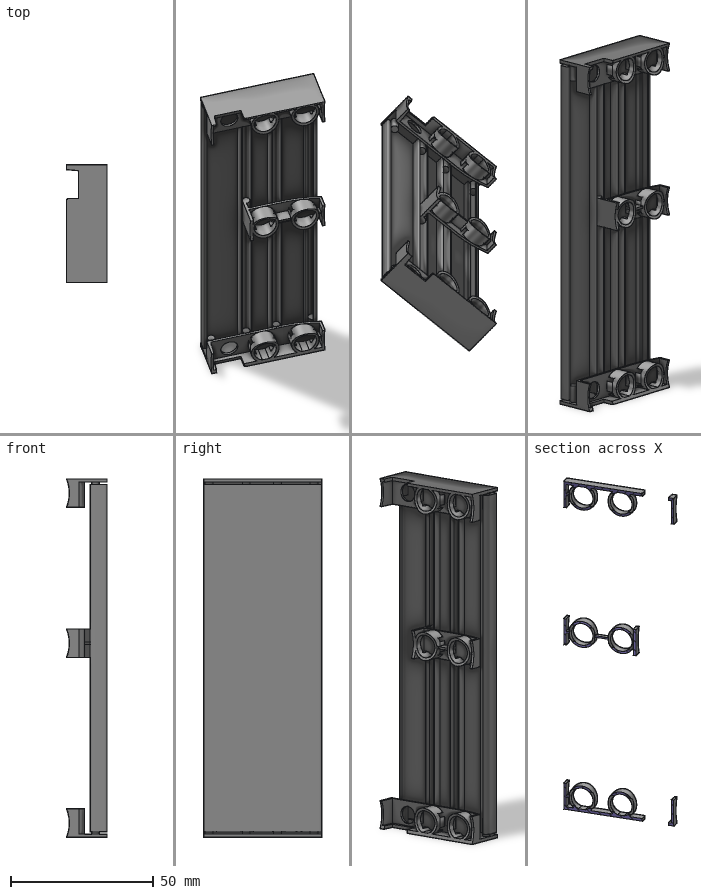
import cadquery as cq
import math

DEPTH = 14.31
WIDTH = 41.45
LENGTH = 126.0
HALF_WIDTH = WIDTH / 2

CLIP_HEIGHT = 10.09
END_PLATE_THICKNESS = 1.2
WEB_FRONT_X = 5.6
WEB_THICKNESS = 0.85
WEB_BACK_X = WEB_FRONT_X + WEB_THICKNESS
WEB_BEND_Y = -7.07
WEB_BEND_RISE = 1.95
SIDE_WALL_THICKNESS = 0.95
SCALLOP_SAG = 1.0

TUBE_YS = (0.89, -13.8)
TUBE_BORE = 8.09
TUBE_DIAMETER = CLIP_HEIGHT
RECESS_WIDTH = 9.4
RECESS_HEIGHT = 6.2
RECESS_DEPTH = 2.5
RIB_THICKNESS = 0.8
RIB_FRONT_X = 1.7

ACCESS_HOLE_DIAMETER = 6.2
ACCESS_HOLE_Y = 12.69
TAB_TIP_THICKNESS = 0.75
TAB_ROOT_THICKNESS = 1.25
TAB_RIM = 1.05
NOTCH_DEPTH = 4.2
NOTCH_END_Y = 8.87
NOTCH_ROUND = 0.8
PIN_TOP = 7.2

MIDDLE_CLIP_BOTTOM = 0.2
HOOK_OUTER_Y = 6.5
HOOK_THICKNESS = 1.1
HOOK_ROOT_FILLET = 0.6
GUSSET_WIDTH = 1.0

PANEL_LENGTH = 122.0
PANEL_FRONT_X = 12.1
PANEL_EDGE_FILLET = 0.85
PIN_DIAMETER = 2.7
PORT_X = 10.2
PORT_WALL = 0.5
PORT_RADIUS = PIN_DIAMETER / 2 + PORT_WALL
PORT_MOUTH_X = 9.0
PORT_LIP_WIDTH = 1.2
MIDDLE_PORT_YS = (5.2, -5.8)
EDGE_PORT_Y = -HALF_WIDTH + PORT_RADIUS
EDGE_LIP_FRONT_X = 10.6
EDGE_LIP_WIDTH = 1.35
EDGE_LIP_FILLET = 0.6
EDGE_PIN_Y = 18.0


def box(x0, x1, y0, y1, z0, z1):
    """Block between two opposite corners."""
    return cq.Workplane("XY").box(x1 - x0, y1 - y0, z1 - z0, centered=False).translate((x0, y0, z0))


def rod(diameter, y, x0, x1):
    """Cylinder along X at the middle height of a clip."""
    return (
        cq.Workplane("YZ", origin=(x0, y, CLIP_HEIGHT / 2))
        .circle(diameter / 2)
        .extrude(x1 - x0)
    )


def pin(y, z0, z1):
    """Upright pin that fits a screw port of the panel."""
    return cq.Workplane("XY", origin=(PORT_X, y, z0)).circle(PIN_DIAMETER / 2).extrude(z1 - z0)


def middle_port(y):
    """C-shaped screw port, open to -X, with a rounded lip on its +Y side."""
    bore_radius = PIN_DIAMETER / 2
    lip_outer_y = y + bore_radius + PORT_LIP_WIDTH
    lip_round = PORT_LIP_WIDTH / 2
    outline = (
        cq.Workplane("XY", origin=(0, 0, -PANEL_LENGTH / 2))
        .moveTo(PANEL_FRONT_X, lip_outer_y)
        .lineTo(PORT_MOUTH_X + lip_round, lip_outer_y)
        .radiusArc((PORT_MOUTH_X, lip_outer_y - lip_round), -lip_round)
        .lineTo(PORT_X, y + bore_radius)
        .threePointArc((PORT_X + bore_radius, y), (PORT_X, y - bore_radius))
        .lineTo(PORT_MOUTH_X, y - bore_radius)
        .lineTo(PORT_MOUTH_X, y - PORT_RADIUS)
        .lineTo(PANEL_FRONT_X, y - PORT_RADIUS)
        .close()
    )
    return outline.extrude(PANEL_LENGTH)


def edge_port():
    """Screw port along the -Y edge: its mouth is the quarter toward -X and +Y."""
    y = EDGE_PORT_Y
    bore_radius = PIN_DIAMETER / 2
    lip_outer_y = y + bore_radius + PORT_LIP_WIDTH
    outline = (
        cq.Workplane("XY", origin=(0, 0, -PANEL_LENGTH / 2))
        .moveTo(PANEL_FRONT_X, lip_outer_y)
        .lineTo(PORT_X, lip_outer_y)
        .lineTo(PORT_X, y + bore_radius)
        .threePointArc((PORT_X + bore_radius, y), (PORT_X, y - bore_radius))
        .radiusArc((PORT_X - bore_radius, y), bore_radius)
        .lineTo(PORT_X - PORT_RADIUS, y)
        .radiusArc((PORT_X, y - PORT_RADIUS), -PORT_RADIUS)
        .lineTo(PANEL_FRONT_X, y - PORT_RADIUS)
        .close()
    )
    return outline.extrude(PANEL_LENGTH)


def make_panel():
    half_length = PANEL_LENGTH / 2
    plate = box(PANEL_FRONT_X, DEPTH, -HALF_WIDTH, HALF_WIDTH, -half_length, half_length)
    plate = plate.edges("|Z and >X").fillet(PANEL_EDGE_FILLET)
    lip = box(
        EDGE_LIP_FRONT_X, PANEL_FRONT_X, HALF_WIDTH - EDGE_LIP_WIDTH, HALF_WIDTH, -half_length, half_length
    )
    panel = plate.union(lip)
    panel = panel.edges("|Z and >Y and <X").fillet(EDGE_LIP_FILLET)
    root = cq.selectors.NearestToPointSelector((PANEL_FRONT_X, HALF_WIDTH - EDGE_LIP_WIDTH, 0))
    panel = panel.edges(root).fillet(EDGE_LIP_FILLET)
    for y in MIDDLE_PORT_YS:
        panel = panel.union(middle_port(y))
    return panel.union(edge_port())


def web_profile(y_end, front_x, back_x):
    """Wall across Y from y_end, bending toward -X at its -Y end."""
    run = WEB_BEND_Y + HALF_WIDTH
    radius = (run**2 + WEB_BEND_RISE**2) / (2 * WEB_BEND_RISE)
    half_angle = math.asin(run / radius) / 2
    mid_y = WEB_BEND_Y - radius * math.sin(half_angle)
    mid_rise = radius * (1 - math.cos(half_angle))
    return (
        cq.Workplane("XY")
        .moveTo(front_x, y_end)
        .lineTo(front_x, WEB_BEND_Y)
        .threePointArc((front_x - mid_rise, mid_y), (front_x - WEB_BEND_RISE, -HALF_WIDTH))
        .lineTo(back_x - WEB_BEND_RISE, -HALF_WIDTH)
        .threePointArc((back_x - mid_rise, mid_y), (back_x, WEB_BEND_Y))
        .lineTo(back_x, y_end)
        .close()
        .extrude(CLIP_HEIGHT)
    )


def rib(y0, y1):
    """Thin rib in front of the web at the middle height."""
    middle = CLIP_HEIGHT / 2
    return box(RIB_FRONT_X, WEB_BACK_X, y0, y1, middle - RIB_THICKNESS / 2, middle + RIB_THICKNESS / 2)


def clip_body(y_end, rib_spans):
    """Web, -Y side wall, ribs and tubes, standing on Z = 0."""
    web = web_profile(y_end, WEB_FRONT_X, WEB_BACK_X)
    in_front_of_web = web_profile(y_end, 0 - DEPTH, WEB_FRONT_X)
    fittings = rod(TUBE_DIAMETER, TUBE_YS[0], 0, WEB_BACK_X)
    fittings = fittings.union(rod(TUBE_DIAMETER, TUBE_YS[1], 0, WEB_BACK_X))
    for y0, y1 in rib_spans:
        fittings = fittings.union(rib(y0, y1))
    recess_front_x = WEB_FRONT_X - RECESS_DEPTH
    middle = CLIP_HEIGHT / 2
    for y in TUBE_YS:
        fittings = fittings.cut(rod(TUBE_BORE, y, 0, WEB_BACK_X))
        fittings = fittings.cut(
            box(
                recess_front_x, WEB_BACK_X, y - RECESS_WIDTH / 2, y + RECESS_WIDTH / 2,
                middle - RECESS_HEIGHT / 2, middle + RECESS_HEIGHT / 2,
            )
        )
    fittings = fittings.intersect(in_front_of_web)
    side_wall = box(
        0, WEB_BACK_X - WEB_BEND_RISE, -HALF_WIDTH, -HALF_WIDTH + SIDE_WALL_THICKNESS, 0, CLIP_HEIGHT
    )
    return web.union(fittings).union(side_wall)


def scallop(clip):
    """Hollow the -X side of a clip with a wide cylinder along Y."""
    half = CLIP_HEIGHT / 2
    radius = (half**2 + SCALLOP_SAG**2) / (2 * SCALLOP_SAG)
    cutter = (
        cq.Workplane("XZ", origin=(SCALLOP_SAG - radius, HALF_WIDTH, half)).circle(radius).extrude(WIDTH)
    )
    return clip.cut(cutter)


def tab(tip_thickness, root_thickness, height):
    """Tapered wall along the +Y side, thicker toward the web."""
    return (
        cq.Workplane("XY")
        .moveTo(0, HALF_WIDTH)
        .lineTo(0, HALF_WIDTH - tip_thickness)
        .lineTo(WEB_FRONT_X, HALF_WIDTH - root_thickness)
        .lineTo(WEB_FRONT_X, HALF_WIDTH)
        .close()
        .extrude(height)
    )


def end_plate():
    """Plate that closes the end, notched at the front beside the +Y tab."""
    plate = box(0, DEPTH, -HALF_WIDTH, HALF_WIDTH, 0, END_PLATE_THICKNESS)
    plate = plate.cut(box(0, NOTCH_DEPTH, NOTCH_END_Y, HALF_WIDTH, 0, END_PLATE_THICKNESS))
    corner = cq.selectors.NearestToPointSelector((0, NOTCH_END_Y, END_PLATE_THICKNESS / 2))
    plate = plate.edges(corner).fillet(NOTCH_ROUND)
    rim = tab(TAB_TIP_THICKNESS + TAB_RIM, TAB_ROOT_THICKNESS + TAB_RIM, END_PLATE_THICKNESS)
    return plate.union(rim)


def make_end_clip():
    """Bottom end clip, with its outer face on Z = 0."""
    clip = clip_body(HALF_WIDTH, [(-HALF_WIDTH, TUBE_YS[1])])
    clip = clip.union(tab(TAB_TIP_THICKNESS, TAB_ROOT_THICKNESS, CLIP_HEIGHT))
    clip = clip.cut(rod(ACCESS_HOLE_DIAMETER, ACCESS_HOLE_Y, 0, WEB_BACK_X))
    clip = scallop(clip.union(end_plate()))
    for y in (EDGE_PIN_Y, *MIDDLE_PORT_YS, EDGE_PORT_Y):
        clip = clip.union(pin(y, 0, PIN_TOP))
    return clip


def make_middle_clip():
    """Middle clip, with a hooked +Y wall whose bead sits in a panel port."""
    hook_inner_y = HOOK_OUTER_Y - HOOK_THICKNESS
    clip = clip_body(HOOK_OUTER_Y, [(-HALF_WIDTH, TUBE_YS[1]), TUBE_YS[::-1]])
    wall = box(0, PORT_X, hook_inner_y, HOOK_OUTER_Y, 0, CLIP_HEIGHT)
    wall = wall.cut(rod(TUBE_BORE, TUBE_YS[0], 0, WEB_FRONT_X))
    clip = clip.union(wall)
    root = cq.selectors.NearestToPointSelector((WEB_BACK_X, hook_inner_y, CLIP_HEIGHT / 2))
    clip = clip.edges(root).fillet(HOOK_ROOT_FILLET)
    gusset = (
        cq.Workplane("XY", origin=(0, 0, (CLIP_HEIGHT - RIB_THICKNESS) / 2))
        .moveTo(WEB_BACK_X, hook_inner_y)
        .lineTo(WEB_BACK_X, hook_inner_y - GUSSET_WIDTH)
        .lineTo(PORT_MOUTH_X, hook_inner_y)
        .close()
        .extrude(RIB_THICKNESS)
    )
    bead = pin(MIDDLE_PORT_YS[0], 0, CLIP_HEIGHT)
    return scallop(clip.union(gusset).union(bead))


panel = make_panel()
bottom_clip = make_end_clip().translate((0, 0, -LENGTH / 2))
top_clip = bottom_clip.mirror("XY")
middle_clip = make_middle_clip().translate((0, 0, MIDDLE_CLIP_BOTTOM))

result = cq.Compound.makeCompound(
    [body.solids().val() for body in (panel, bottom_clip, top_clip, middle_clip)]
)